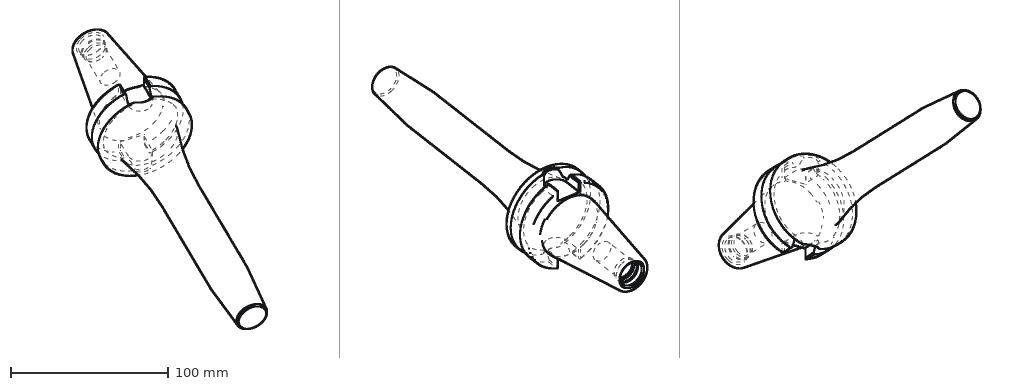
import cadquery as cq
import math

gauge_radius = 44.45 / 2
taper_slope = 7 / 24 / 2
shank_length = 65.4
tail_x = -shank_length
taper_large_end_x = -1.4
tail_radius = gauge_radius - taper_slope * shank_length
land_radius = gauge_radius + taper_slope * taper_large_end_x
tail_fillet = 1.0

flange_radius = 63 / 2
flange_start_x = 2.0
flange_end_x = 27.0
flange_edge_fillet = 1.0
flange_root_fillet = 0.8
groove_centre_x = 16.7
groove_top_width = 10.0
groove_floor_radius = 52.6 / 2
groove_half_angle = 30
groove_floor_fillet = 0.8
groove_run = (flange_radius - groove_floor_radius) * math.tan(math.radians(groove_half_angle))
groove_left_x = groove_centre_x - groove_top_width / 2
groove_right_x = groove_centre_x + groove_top_width / 2
groove_floor_left_x = groove_left_x + groove_run
groove_floor_right_x = groove_right_x - groove_run

slot_width = 16.1
slot_end_x = 23.4
slot_floor_z = 22.5
slot_edge_chamfer = 1.0

collar_fillet = 3.0
neck_start_radius = 20.3
neck_arc_radius = 200.0
stem_radius = 27 / 2
stem_end_x = 161.5
tip_end_x = 200.0
tip_end_radius = 21 / 2
tip_chamfer = 1.0

mouth_radius = 19.5 / 2
bore_steps = (
    (0.0, 1.0, 17 / 2),
    (5.0, 5.5, 16 / 2),
    (8.2, 9.2, 14 / 2),
)
bore_depth = 32.0
drill_point_angle = 120

tolerance = 1e-4


def ring_edges(body, x, radius):
    """Circular edges about the X axis at one station and radius."""
    return [
        edge
        for edge in body.edges("%CIRCLE").vals()
        if abs(edge.arcCenter().x - x) < tolerance and abs(edge.radius() - radius) < tolerance
    ]


def fillet_rings(body, rings, fillet_radius):
    """Round the circular edges given as (x, radius) pairs."""
    edges = []
    for x, radius in rings:
        edges += ring_edges(body, x, radius)
    return body.newObject(edges).fillet(fillet_radius)


def make_body():
    """Revolve the outer outline about X and round the edges of its shoulders."""
    neck_start_x = flange_end_x + collar_fillet
    neck_drop = neck_start_radius - stem_radius
    neck_length = math.sqrt(neck_arc_radius**2 - (neck_arc_radius - neck_drop) ** 2)
    neck_end_x = neck_start_x + neck_length
    half_turn = math.asin(neck_length / neck_arc_radius) / 2
    neck_middle = (
        neck_end_x - neck_arc_radius * math.sin(half_turn),
        stem_radius + neck_arc_radius * (1 - math.cos(half_turn)),
    )
    collar_offset = collar_fillet * (1 - math.sqrt(0.5))
    tip_slope = (stem_radius - tip_end_radius) / (tip_end_x - stem_end_x)
    outline = (
        cq.Workplane("XY")
        .moveTo(tail_x, 0)
        .lineTo(tail_x, tail_radius)
        .lineTo(taper_large_end_x, land_radius)
        .lineTo(flange_start_x, land_radius)
        .lineTo(flange_start_x, flange_radius)
        .lineTo(groove_left_x, flange_radius)
        .lineTo(groove_floor_left_x, groove_floor_radius)
        .lineTo(groove_floor_right_x, groove_floor_radius)
        .lineTo(groove_right_x, flange_radius)
        .lineTo(flange_end_x, flange_radius)
        .lineTo(flange_end_x, neck_start_radius + collar_fillet)
        .threePointArc(
            (flange_end_x + collar_offset, neck_start_radius + collar_offset),
            (neck_start_x, neck_start_radius),
        )
        .threePointArc(neck_middle, (neck_end_x, stem_radius))
        .lineTo(stem_end_x, stem_radius)
        .lineTo(tip_end_x - tip_chamfer, tip_end_radius + tip_slope * tip_chamfer)
        .lineTo(tip_end_x, tip_end_radius - tip_chamfer)
        .lineTo(tip_end_x, 0)
        .close()
    )
    body = outline.revolve(360, (0, 0, 0), (1, 0, 0))
    body = fillet_rings(body, [(tail_x, tail_radius)], tail_fillet)
    body = fillet_rings(body, [(flange_start_x, land_radius)], flange_root_fillet)
    groove_corners = [
        (groove_floor_left_x, groove_floor_radius),
        (groove_floor_right_x, groove_floor_radius),
    ]
    return fillet_rings(body, groove_corners, groove_floor_fillet)


def make_bore():
    """Stepped blind bore with a drilled cone at its end."""
    outline = cq.Workplane("XY").moveTo(tail_x, 0).lineTo(tail_x, mouth_radius)
    radius = mouth_radius
    for start_depth, end_depth, next_radius in bore_steps:
        if start_depth > 0:
            outline = outline.lineTo(tail_x + start_depth, radius)
        outline = outline.lineTo(tail_x + end_depth, next_radius)
        radius = next_radius
    drill_point = radius / math.tan(math.radians(drill_point_angle / 2))
    outline = (
        outline.lineTo(tail_x + bore_depth, radius)
        .lineTo(tail_x + bore_depth + drill_point, 0)
        .close()
    )
    return outline.revolve(360, (0, 0, 0), (1, 0, 0))


def make_slot():
    """Round-ended key slot on +Z, open towards the shank."""
    half_width = slot_width / 2
    arc_centre_x = slot_end_x - half_width
    open_end_x = flange_start_x - flange_root_fillet
    return (
        cq.Workplane("XY", origin=(0, 0, slot_floor_z))
        .moveTo(open_end_x, -half_width)
        .lineTo(arc_centre_x, -half_width)
        .threePointArc((slot_end_x, 0), (arc_centre_x, half_width))
        .lineTo(open_end_x, half_width)
        .close()
        .extrude(flange_radius - slot_floor_z)
    )


def chamfer_slot_edges(body):
    """Bevel the slot walls where they meet the flange rim and the flange front face."""
    half_width = slot_width / 2
    edges = []
    for edge in body.edges().vals():
        middle = edge.positionAt(0.5)
        on_wall = abs(middle.y) < half_width + tolerance and abs(middle.z) > slot_floor_z + tolerance
        on_rim = abs(math.hypot(middle.y, middle.z) - flange_radius) < tolerance
        on_rim = on_rim and flange_start_x + tolerance < middle.x < flange_end_x - tolerance
        in_face = abs(middle.x - flange_start_x) < tolerance
        on_groove_edge = edge.geomType() == "CIRCLE"
        if on_wall and (on_rim or in_face) and not on_groove_edge:
            edges.append(edge)
    return body.newObject(edges).chamfer(slot_edge_chamfer)


result = make_body().cut(make_bore())
for slot_angle in (0, 180):
    result = result.cut(make_slot().rotate((0, 0, 0), (1, 0, 0), slot_angle))
result = chamfer_slot_edges(result)
flange_rims = [(flange_start_x, flange_radius), (flange_end_x, flange_radius)]
result = fillet_rings(result, flange_rims, flange_edge_fillet)